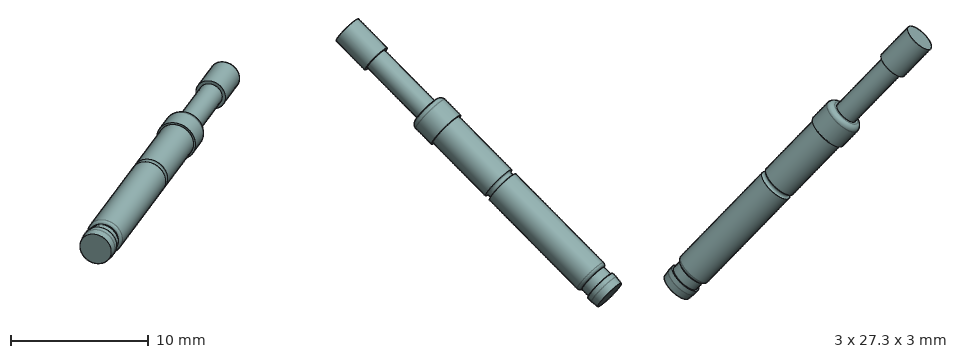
import cadquery as cq

total_length = 27.3
head_length = 3.0
stem_length = 5.25
collar_length = 2.05
front_body_length = 5.45
groove_width = 0.4
neck_length = 0.75
tail_length = 0.98
tail_land_length = 0.4

head_diameter = 2.3
stem_diameter = 1.8
collar_diameter = 3.0
body_diameter = 2.7
neck_diameter = 2.3
tail_diameter = 2.57
tail_end_diameter = 2.43

collar_fillet = 0.4
body_end_fillet = 0.27

front_y = total_length / 2
head_back = front_y - head_length
collar_front = head_back - stem_length
collar_back = collar_front - collar_length
groove_front = collar_back - front_body_length
rear_y = -total_length / 2
tail_front = rear_y + tail_length
body_back = tail_front + neck_length


def rod(start_y, end_y, diameter):
    """Cylinder on the Y axis running from start_y (front) back to end_y."""
    return cq.Workplane("XZ", origin=(0, start_y, 0)).circle(diameter / 2).extrude(start_y - end_y)


def plunger():
    """Contact head on a thinner stem."""
    return rod(front_y, head_back, head_diameter).union(rod(head_back, collar_front, stem_diameter))


def collar():
    """Press-fit stop collar with a rounded front rim."""
    return rod(collar_front, collar_back, collar_diameter).faces(">Y").edges().fillet(collar_fillet)


def barrel():
    """Round body with a crimp groove of semicircular section and a rounded rear rim."""
    groove_radius = groove_width / 2
    body = rod(collar_back, body_back, body_diameter).faces("<Y").edges().fillet(body_end_fillet)
    groove_ring = (
        cq.Workplane("XY")
        .center(body_diameter / 2, groove_front - groove_radius)
        .circle(groove_radius)
        .revolve(360, (-body_diameter / 2, 0, 0), (-body_diameter / 2, 1, 0))
    )
    return body.cut(groove_ring)


def tail():
    """Neck and end flange; the flange tapers behind a short straight land."""
    land_back = tail_front - tail_land_length
    neck = rod(body_back, tail_front, neck_diameter)
    flange = (
        cq.Workplane("XY")
        .moveTo(0, tail_front)
        .lineTo(tail_diameter / 2, tail_front)
        .lineTo(tail_diameter / 2, land_back)
        .lineTo(tail_end_diameter / 2, rear_y)
        .lineTo(0, rear_y)
        .close()
        .revolve(360, (0, 0, 0), (0, 1, 0))
    )
    return neck.union(flange)


result = plunger().union(collar()).union(barrel()).union(tail())